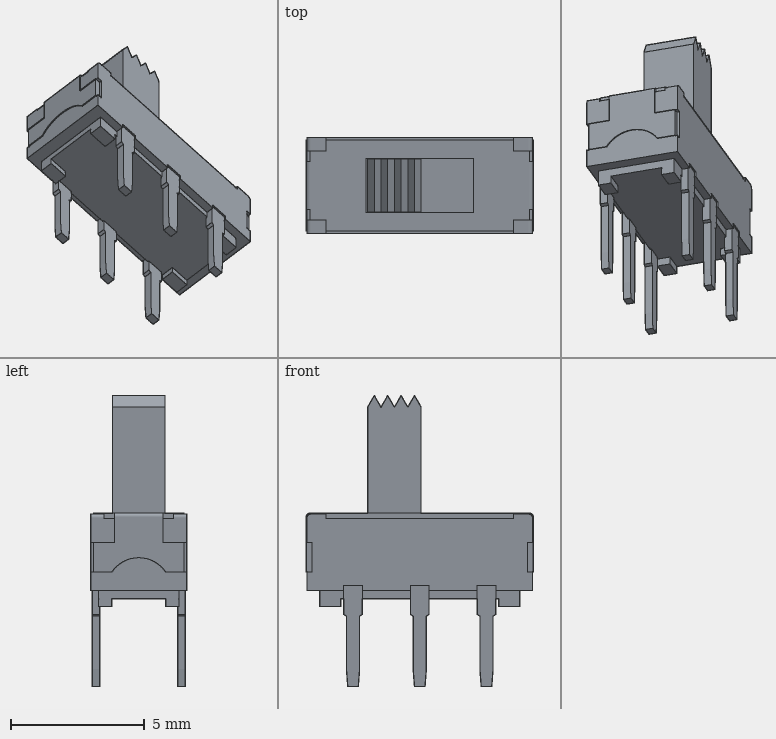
import cadquery as cq


total_length = 8.5
total_height = 10.9
body_width = 3.6
cover_top = 2.9
leg_drop = 3.6

cover_stand_out = 0.03
body_length = total_length - 2 * cover_stand_out
body_height = cover_top - cover_stand_out
edge_radius = 0.15

sheet = 0.2
seat_floor = cover_top - sheet
cover_width = 3.4
cover_length = 7.0
neck_length = 8.2
neck_width = 2.59
bend_width = 1.81
flap_top = 1.8
flap_bottom = 0.7
arch_half_width = 1.0
arch_rise = 0.53

opening_length = 4.01
opening_width = 2.02
slider_length = 2.01
slider_width = 1.97
slider_end_gap = 0.05
tooth_count = 4
tooth_height = 0.44

plate_length = 7.5
plate_width = 3.01
plate_depth = 0.3
foot_length = 0.8
foot_width = 0.5
foot_depth = 0.6

leg_pitch = 2.5
leg_thickness = 0.29
leg_inset = 0.05
leg_top = 0.2
leg_head_width = 0.71
leg_width = 0.5
leg_tip_width = 0.4
shoulder_z = -0.89
shoulder_drop = 0.07
tip_length = 0.65
leg_positions = [-leg_pitch, 0, leg_pitch]


def block(x_size, y_size, z_low, z_high, x=0, y=0):
    """Box centred at (x, y) between two heights."""
    solid = cq.Workplane("XY").box(x_size, y_size, z_high - z_low)
    return solid.translate((x, y, (z_low + z_high) / 2))


def make_base():
    """Moulded block with steps for the cover, slots beside the flaps and pockets for the leg heads."""
    base = block(body_length, body_width, 0, body_height)
    base = base.edges("|Y and >Z").fillet(edge_radius)
    base = base.cut(block(cover_length, body_width, seat_floor, cover_top))
    for end in (-1, 1):
        relief_x = end * (neck_length + sheet) / 2
        base = base.cut(block(sheet, neck_width, seat_floor, cover_top, x=relief_x))
        for side in (-1, 1):
            slot_x = end * (body_length - sheet) / 2
            slot_width = (body_width - cover_width) / 2
            slot_y = side * (body_width - slot_width) / 2
            base = base.cut(block(sheet, slot_width, flap_bottom, flap_top, x=slot_x, y=slot_y))
    for x in leg_positions:
        for side in (-1, 1):
            pocket_y = side * (body_width - leg_inset) / 2
            base = base.cut(block(leg_head_width, leg_inset, 0, leg_top, x=x, y=pocket_y))
    return base


def make_flap():
    """+X end flap: narrow at the rounded bend, wide below it, arched along its lower edge."""
    half_width = cover_width / 2
    half_bend = bend_width / 2
    flap = (
        cq.Workplane("YZ", origin=(total_length / 2 - sheet, 0, 0))
        .moveTo(-half_width, flap_bottom)
        .lineTo(-arch_half_width, flap_bottom)
        .threePointArc((0, flap_bottom + arch_rise), (arch_half_width, flap_bottom))
        .lineTo(half_width, flap_bottom)
        .lineTo(half_width, flap_top)
        .lineTo(half_bend, flap_top)
        .lineTo(half_bend, cover_top)
        .lineTo(-half_bend, cover_top)
        .lineTo(-half_bend, flap_top)
        .lineTo(-half_width, flap_top)
        .close()
        .extrude(sheet)
    )
    return flap.edges("|Y and >Z and >X").fillet(edge_radius)


def make_cover():
    """Flat top sheet with its neck and the two end flaps."""
    cover = block(cover_length, cover_width, seat_floor, cover_top)
    cover = cover.union(block(neck_length, neck_width, seat_floor, cover_top))
    flap = make_flap()
    return cover.union(flap).union(flap.mirror("YZ"))


def make_slider():
    """Square post with a row of V-shaped grip teeth on top."""
    tip_z = total_height - leg_drop
    root_z = tip_z - tooth_height
    left = slider_end_gap - opening_length / 2
    pitch = slider_length / tooth_count
    outline = [(left + slider_length, seat_floor), (left, seat_floor), (left, root_z)]
    for tooth in range(tooth_count):
        tooth_start = left + tooth * pitch
        outline.append((tooth_start + pitch / 2, tip_z))
        outline.append((tooth_start + pitch, root_z))
    post = cq.Workplane("XZ").polyline(outline).close()
    return post.extrude(slider_width / 2, both=True)


def make_feet():
    """Plate under the base with a foot at each corner."""
    feet = block(plate_length, plate_width, -plate_depth, 0)
    for end in (-1, 1):
        for side in (-1, 1):
            foot_x = end * (plate_length - foot_length) / 2
            foot_y = side * (plate_width - foot_width) / 2
            feet = feet.union(block(foot_length, foot_width, -foot_depth, 0, x=foot_x, y=foot_y))
    return feet


def make_leg(x, side):
    """Flat leg with a wide head, sloped shoulders and a tapered tip."""
    right_edge = [
        (leg_head_width / 2, leg_top),
        (leg_head_width / 2, shoulder_z),
        (leg_width / 2, shoulder_z - shoulder_drop),
        (leg_width / 2, tip_length - leg_drop),
        (leg_tip_width / 2, -leg_drop),
    ]
    left_edge = [(-across, z) for across, z in reversed(right_edge)]
    leg = cq.Workplane("XZ").polyline(right_edge + left_edge).close()
    leg = leg.extrude(leg_thickness / 2, both=True)
    leg_y = side * (body_width / 2 - leg_inset - leg_thickness / 2)
    return leg.translate((x, leg_y, 0))


result = make_base().union(make_cover())
result = result.cut(block(opening_length, opening_width, seat_floor, cover_top))
result = result.union(make_slider()).union(make_feet())
for leg_x in leg_positions:
    for leg_side in (-1, 1):
        result = result.union(make_leg(leg_x, leg_side))